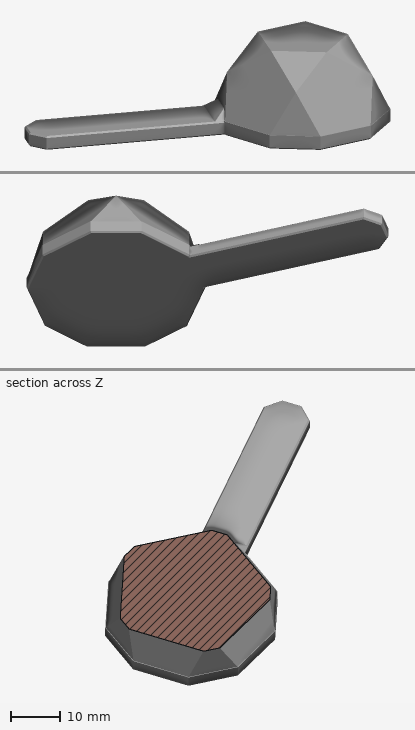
import cadquery as cq
import math

total_length = 64.9
total_height = 17.65
plate_thickness = 3.0
edge_chamfer = 0.3

edge_length = 11.3
golden_ratio = (1 + math.sqrt(5)) / 2
pentagon_radius = edge_length / (2 * math.sin(math.pi / 5))
shoulder_radius = pentagon_radius * golden_ratio
equator_radius = edge_length * golden_ratio
equator_z = total_height - shoulder_radius
shoulder_z = equator_z + pentagon_radius
rim_ledge = 0.1

equator_apothem = equator_radius * math.cos(math.pi / 10)
facet_fraction = (plate_thickness - equator_z) / (shoulder_z - equator_z)
rim_apothem = equator_apothem + facet_fraction * (shoulder_radius - equator_apothem) + rim_ledge

handle_angle = 216
handle_width = 10.0
tip_chamfer = handle_width / (2 + math.sqrt(2))
tip_half_flat = handle_width / 2 - tip_chamfer

tilt = math.radians(handle_angle - 180)
handle_reach = (total_length - rim_apothem - tip_half_flat * math.sin(tilt)) / math.cos(tilt)

gusset_height = 1.95
gusset_foot_reach = 19.3
gusset_foot_width = 9.75
gusset_top_reach = 16.9
gusset_top_width = 5.6


def ring(count, radius, z, start_angle):
    """Evenly spaced points on a horizontal circle."""
    angles = [math.radians(start_angle + 360 * i / count) for i in range(count)]
    return [cq.Vector(radius * math.cos(a), radius * math.sin(a), z) for a in angles]


def flat_face(points):
    return cq.Face.makeFromWires(cq.Wire.makePolygon(points, close=True))


def half_icosidodecahedron():
    crown = ring(5, pentagon_radius, total_height, 36)
    shoulder = ring(5, shoulder_radius, shoulder_z, 0)
    equator = ring(10, equator_radius, equator_z, -18)
    faces = [flat_face(crown), flat_face(equator)]
    for i in range(5):
        after = (i + 1) % 5
        left_foot = equator[2 * i]
        right_foot = equator[2 * i + 1]
        next_foot = equator[2 * after]
        faces.append(flat_face([crown[i - 1], crown[i], shoulder[i]]))
        faces.append(flat_face([left_foot, right_foot, shoulder[i]]))
        faces.append(flat_face([crown[i], shoulder[i], right_foot, next_foot, shoulder[after]]))
    return cq.Workplane(cq.Solid.makeSolid(cq.Shell.makeShell(faces)))


def dome_above_rim():
    size = 4 * equator_radius
    below_rim = cq.Workplane().box(size, size, plate_thickness, centered=(True, True, False))
    return half_icosidodecahedron().cut(below_rim)


def rim(dome):
    outline = dome.faces("<Z").wires().val().offset2D(rim_ledge, "intersection")[0]
    outline = outline.translate(cq.Vector(0, 0, -plate_thickness))
    wall = cq.Workplane().add(outline).toPending().extrude(plate_thickness)
    return wall.faces("<Z").chamfer(edge_chamfer)


def handle():
    bar = cq.Workplane().box(handle_reach, handle_width, plate_thickness, centered=(False, True, False))
    bar = bar.edges("|Z and >X").chamfer(tip_chamfer)
    bar = bar.faces("<Z or >Z").chamfer(edge_chamfer)
    return bar.rotate((0, 0, 0), (0, 0, 1), handle_angle)


def gusset():
    block = (
        cq.Workplane(origin=(0, 0, plate_thickness))
        .center(gusset_foot_reach / 2, 0)
        .rect(gusset_foot_reach, gusset_foot_width)
        .workplane(offset=gusset_height)
        .center((gusset_top_reach - gusset_foot_reach) / 2, 0)
        .rect(gusset_top_reach, gusset_top_width)
        .loft(ruled=True)
    )
    return block.rotate((0, 0, 0), (0, 0, 1), handle_angle)


dome = dome_above_rim()
result = dome.union(rim(dome)).union(handle()).union(gusset())